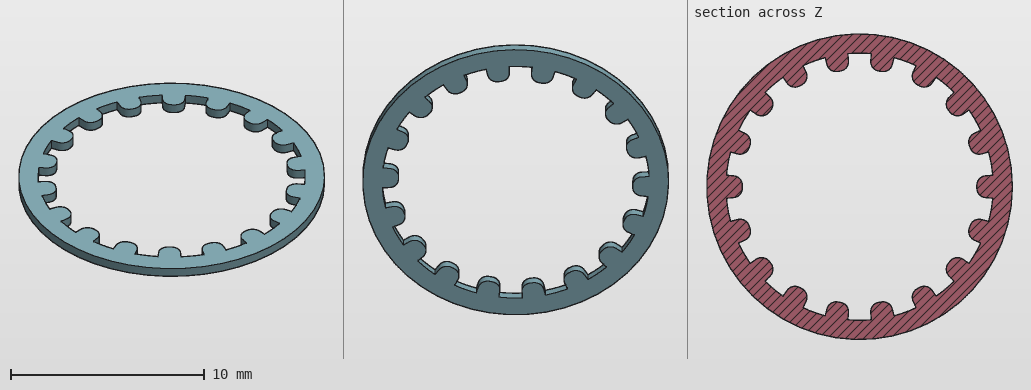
import cadquery as cq
import math

outer_diameter = 15.8
thickness = 0.51
ring_inner_radius = 6.895
tooth_count = 18
tooth_tip_radius = 6.05
tooth_corner_radius = 0.5

outer_radius = outer_diameter / 2
tooth_base_radius = (outer_radius + ring_inner_radius) / 2
tooth_pitch_angle = 360 / tooth_count
tooth_half_angle = tooth_pitch_angle / 4


def polar_point(radius, angle):
    return (radius * math.cos(math.radians(angle)), radius * math.sin(math.radians(angle)))


def make_ring():
    return cq.Workplane("XY").circle(outer_radius).circle(ring_inner_radius).extrude(thickness)


def make_tooth(angle):
    """One tooth on the +X side with rounded tip corners, turned about the washer axis."""
    tooth = (
        cq.Workplane("XY")
        .moveTo(*polar_point(tooth_base_radius, -tooth_half_angle))
        .lineTo(*polar_point(tooth_base_radius, tooth_half_angle))
        .lineTo(*polar_point(tooth_tip_radius, tooth_half_angle))
        .threePointArc((tooth_tip_radius, 0), polar_point(tooth_tip_radius, -tooth_half_angle))
        .close()
        .extrude(thickness)
        .edges("|Z")
        .edges("<X")
        .fillet(tooth_corner_radius)
    )
    return tooth.rotate((0, 0, 0), (0, 0, 1), angle)


result = make_ring()
for index in range(tooth_count):
    result = result.union(make_tooth(index * tooth_pitch_angle))